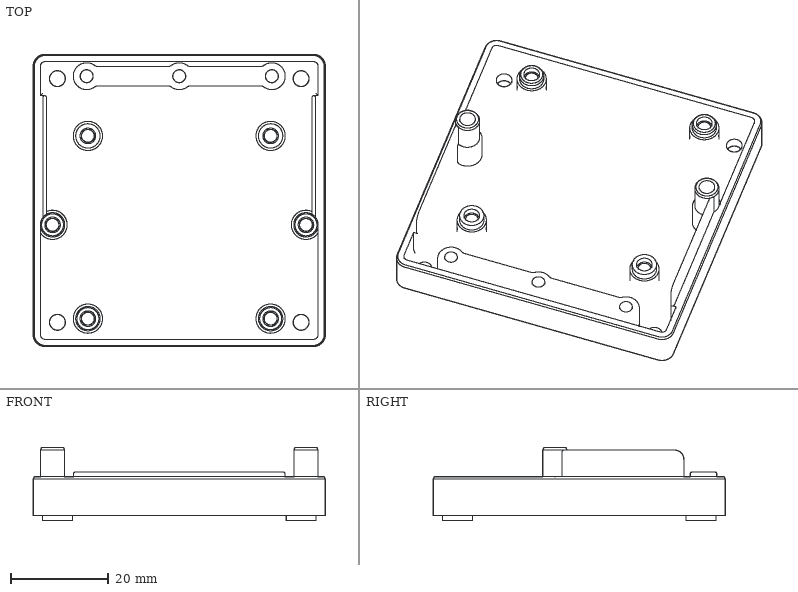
import cadquery as cq
outer_size = 60.0
outer_height = 8.0
outer_corner_radius = 2.5
wall = 1.5
floor_top = 1.5
cavity_size = outer_size - 2 * wall
cavity_corner_radius = outer_corner_radius - wall

edge_fillet = 0.5
chamfer_width = 0.25
chamfer_height = 0.5

foot_diameter = 6.2
foot_height = 1.0
foot_hole_diameter = 3.2
foot_offset = 25.0
foot_bottom = -foot_height

screw_diameter = 2.6
insert_diameter = 3.2

standoff_pitch = 37.5
standoff_center_y = -5.5
standoff_diameter = 6.0
pilot_diameter = 5.0
standoff_top = floor_top + 6.0
board_thickness = 1.6
shoulder_top = standoff_top - board_thickness
standoff_insert_depth = 1.4

rail_y = 25.5
rail_width = 4.0
rail_top = 9.0
boss_pitch = 19.0
boss_diameter = 5.5
boss_blend_radius = 1.0
boss_positions = [-boss_pitch, 0.0, boss_pitch]

post_x = 26.0
post_y = -5.0
post_base_diameter = 6.0
post_diameter = 5.0
post_base_top = floor_top + 6.0
post_top = 14.0
post_insert_depth = 6.0

tab_outer_x = 28.0
tab_thickness = 0.75
tab_inner_x = tab_outer_x - tab_thickness
tab_round = tab_thickness / 2
tab_center_x = tab_round - tab_outer_x
tab_end_y = 21.5
tab_top = 13.5
tab_corner_radius = 2.0


def cylinder(x, y, diameter, bottom, top):
    return cq.Workplane("XY", origin=(x, y, bottom)).circle(diameter / 2).extrude(top - bottom)


def chamfer_top(body):
    return body.faces(">Z").chamfer(chamfer_height, chamfer_width)


def mirrored_places(x, y_values):
    return [(side * x, y) for side in (-1, 1) for y in y_values]


def make_tab_foot():
    """Strip that joins the left tab to the side wall, up to the rim."""
    x_min = -outer_size / 2
    foot = cq.Workplane("XY", origin=(0, 0, floor_top))
    foot = foot.moveTo(x_min, post_y).lineTo(-tab_inner_x, post_y)
    foot = foot.lineTo(-tab_inner_x, tab_end_y - tab_round)
    foot = foot.radiusArc((-tab_inner_x - tab_round, tab_end_y), -tab_round)
    return foot.lineTo(x_min, tab_end_y).close().extrude(outer_height)


def make_tray():
    body = cq.Workplane("XY").rect(outer_size, outer_size).extrude(outer_height)
    body = body.edges("|Z").fillet(outer_corner_radius)
    body = body.faces(">Z").edges().chamfer(chamfer_height, chamfer_width)
    cavity = cq.Workplane("XY", origin=(0, 0, floor_top)).rect(cavity_size, cavity_size)
    cavity = cavity.extrude(outer_height).edges("|Z").fillet(cavity_corner_radius)
    tab_foot = make_tab_foot()
    cavity = cavity.cut(tab_foot).cut(tab_foot.mirror("YZ"))
    cavity = cavity.faces("<Z").edges().fillet(edge_fillet)
    return body.cut(cavity)


def make_rail():
    rail = cq.Workplane("XY", origin=(0, rail_y, floor_top))
    rail = rail.rect(2 * boss_pitch, rail_width).extrude(rail_top - floor_top)
    for x in boss_positions:
        rail = rail.union(cylinder(x, rail_y, boss_diameter, floor_top, rail_top))
    for y in (rail_y - rail_width / 2, rail_y + rail_width / 2):
        flank = cq.selectors.BoxSelector(
            (-outer_size, y - rail_width / 4, 0), (outer_size, y + rail_width / 4, rail_top)
        )
        rail = rail.edges("|Z").edges(flank).fillet(boss_blend_radius)
    return rail.faces(">Z").edges().fillet(edge_fillet)


def make_standoff(x, y, chamfered):
    radius = standoff_diameter / 2
    flare_radius = radius + edge_fillet
    flare_top = floor_top + edge_fillet
    profile = cq.Workplane("XZ", origin=(x, y, 0)).moveTo(0, floor_top).lineTo(flare_radius, floor_top)
    profile = profile.radiusArc((radius, flare_top), edge_fillet)
    profile = profile.lineTo(radius, shoulder_top).lineTo(0, shoulder_top).close()
    standoff = profile.revolve(360, (0, 0), (0, 1))
    pilot = cylinder(x, y, pilot_diameter, shoulder_top, standoff_top)
    if chamfered:
        pilot = chamfer_top(pilot)
    return standoff.union(pilot)


def tab_crest_line():
    """Centre line of the left tab's rounded edge, from the floor up and forward to the post."""
    crest_y = tab_end_y - tab_round
    crest_z = tab_top - tab_round
    bend = tab_corner_radius - tab_round
    line = cq.Workplane("YZ", origin=(tab_center_x, 0, 0)).moveTo(crest_y, floor_top)
    line = line.lineTo(crest_y, crest_z - bend).radiusArc((crest_y - bend, crest_z), -bend)
    return line.lineTo(post_y, crest_z)


def make_tab():
    """Left tab: a plate with a fully rounded top and end."""
    plate = tab_crest_line().lineTo(post_y, floor_top).close().extrude(tab_round, both=True)
    edge_foot = (tab_center_x, tab_end_y - tab_round, floor_top)
    half_disc = cq.Workplane("XY", origin=edge_foot).moveTo(-tab_round, 0)
    half_disc = half_disc.threePointArc((0, tab_round), (tab_round, 0)).close()
    rounded_edge = half_disc.sweep(tab_crest_line())
    return plate.union(rounded_edge)


def make_post():
    base = cylinder(-post_x, post_y, post_base_diameter, floor_top, post_base_top)
    base = base.faces(">Z").edges().fillet(edge_fillet)
    return base.union(chamfer_top(cylinder(-post_x, post_y, post_diameter, floor_top, post_top)))


foot_places = mirrored_places(foot_offset, (-foot_offset, foot_offset))
front_standoff_y = standoff_center_y - standoff_pitch / 2
rear_standoff_y = standoff_center_y + standoff_pitch / 2
standoff_places = mirrored_places(standoff_pitch / 2, (front_standoff_y, rear_standoff_y))
post_places = mirrored_places(post_x, (post_y,))
boss_places = [(x, rail_y) for x in boss_positions]

result = make_tray().union(make_rail())
for left_part in (make_tab(), make_post()):
    result = result.union(left_part).union(left_part.mirror("YZ"))
for x, y in standoff_places:
    result = result.union(make_standoff(x, y, chamfered=(y == front_standoff_y)))
for x, y in foot_places:
    result = result.union(cylinder(x, y, foot_diameter, foot_bottom, floor_top))

for x, y in foot_places:
    result = result.cut(cylinder(x, y, foot_hole_diameter, foot_bottom, floor_top))
for x, y in standoff_places:
    insert_bottom = standoff_top - standoff_insert_depth
    result = result.cut(cylinder(x, y, insert_diameter, insert_bottom, standoff_top))
for x, y in post_places:
    result = result.cut(cylinder(x, y, insert_diameter, post_top - post_insert_depth, post_top))
for x, y in standoff_places + post_places + boss_places:
    result = result.cut(cylinder(x, y, screw_diameter, 0, post_top))